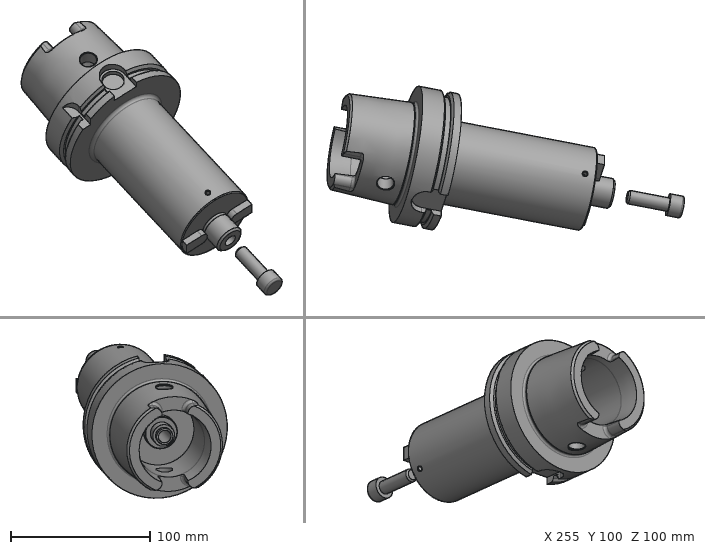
import cadquery as cq
import math


shank_length = 50.0
taper_end_radius = 35.2
taper_slope = 0.05
end_chamfer = 1.5
neck_start = 47.0
neck_depth = 0.3
neck_step = 0.8
neck_fillet = 1.5

bore_mouth_radius = 26.5
bore_radius = 25.2
bore_lead_length = 15.3
bore_depth = 50.0
tube_tip = 33.7
tube_tip_diameter = 12.0
tube_step = 37.0
tube_diameter = 16.0
nut_start = 44.5
nut_diameter = 24.0
nut_chamfer = 0.5
coolant_diameter = 9.2

slot_half_width = 9.55
slot_corner_radius = 5.4
slot_corner_top = 30.5
slot_floor_fillet = 2.3
upper_slot_depth = 10.0
lower_slot_depth = 14.8

cross_hole_x = 35.0
cross_hole_diameter = 12.0
cross_hole_rim = 0.5

flange_radius = 50.0
flange_length = 28.8
groove_center = 69.5
groove_floor_radius = 46.0
groove_floor_width = 4.0
groove_mouth_width = 7.1
groove_mouth_depth = 2.5

notch_width = 20.0
notch_center_x = 64.3
notch_floor = 43.5
rim_hole_diameter = 16.0
rim_hole_depth = 3.8
side_notch_y = -31.4
side_notch_floor = 32.0

body_radius = 30.3
body_end = 184.5
body_fillet = 2.5
body_end_chamfer = 0.8

pilot_diameter = 22.0
pilot_end = 203.0
pilot_chamfer = 1.5
undercut_diameter = 21.7
undercut_end = 187.0
key_width = 10.2
key_height = 5.4
key_inner_reach = 10.7
key_outer_reach = 29.5

set_hole_x = 176.5
set_hole_diameter = 3.0
set_hole_rim_diameter = 4.0
set_hole_rim_depth = 0.8
set_hole_depth = 6.5
set_hole_count = 3

screw_tip = 214.2
screw_end = 255.0
screw_diameter = 10.0
screw_tip_chamfer = 1.3
head_diameter = 16.0
head_length = 10.5
head_fillet = 1.5

flange_end = shank_length + flange_length
slot_corner_y = slot_half_width + slot_corner_radius
slot_corner_z = slot_corner_top - slot_corner_radius
beyond = 2 * flange_radius


def turned(profile):
    """Solid of revolution about X of a closed (x, radius) profile."""
    return profile.close().revolve(360, (0, 0, 0), (1, 0, 0))


def cylinder_x(start, end, diameter):
    return cq.Workplane("YZ", origin=(start, 0, 0)).circle(diameter / 2).extrude(end - start)


def cylinder_z(x, bottom, top, diameter):
    return cq.Workplane("XY", origin=(x, 0, bottom)).circle(diameter / 2).extrude(top - bottom)


def shank():
    neck_radius = taper_end_radius + taper_slope * neck_start - neck_depth
    neck_end = shank_length - neck_fillet
    fillet_middle = neck_fillet * (1 - math.sqrt(0.5))
    profile = (
        cq.Workplane("XY")
        .moveTo(0, 0)
        .lineTo(0, taper_end_radius - end_chamfer)
        .lineTo(end_chamfer, taper_end_radius + taper_slope * end_chamfer)
        .lineTo(neck_start, neck_radius + neck_depth)
        .lineTo(neck_start + neck_step, neck_radius)
        .lineTo(neck_end, neck_radius)
        .threePointArc(
            (shank_length - fillet_middle, neck_radius + fillet_middle),
            (shank_length, neck_radius + neck_fillet),
        )
        .lineTo(shank_length, 0)
    )
    return turned(profile)


def flange():
    mouth_radius = flange_radius - groove_mouth_depth
    half_floor = groove_floor_width / 2
    half_mouth = groove_mouth_width / 2
    profile = (
        cq.Workplane("XY")
        .moveTo(shank_length, 0)
        .lineTo(shank_length, flange_radius)
        .lineTo(groove_center - half_mouth, flange_radius)
        .lineTo(groove_center - half_floor, mouth_radius)
        .lineTo(groove_center - half_floor, groove_floor_radius)
        .lineTo(groove_center + half_floor, groove_floor_radius)
        .lineTo(groove_center + half_floor, mouth_radius)
        .lineTo(groove_center + half_mouth, flange_radius)
        .lineTo(flange_end, flange_radius)
        .lineTo(flange_end, 0)
    )
    return turned(profile)


def body():
    fillet_middle = body_fillet * (1 - math.sqrt(0.5))
    profile = (
        cq.Workplane("XY")
        .moveTo(flange_end, 0)
        .lineTo(flange_end, body_radius + body_fillet)
        .threePointArc(
            (flange_end + fillet_middle, body_radius + fillet_middle),
            (flange_end + body_fillet, body_radius),
        )
        .lineTo(body_end - body_end_chamfer, body_radius)
        .lineTo(body_end, body_radius - body_end_chamfer)
        .lineTo(body_end, 0)
    )
    return turned(profile)


def pilot():
    undercut = cylinder_x(body_end, undercut_end, undercut_diameter)
    spigot = cylinder_x(undercut_end, pilot_end, pilot_diameter).faces(">X").chamfer(pilot_chamfer)
    return undercut.union(spigot)


def drive_key(side):
    """Key on the end face; side is +1 or -1 along Y. Its inner end is a half round."""
    round_center = side * (key_inner_reach + key_width / 2)
    outer = side * key_outer_reach
    plane = cq.Workplane("YZ", origin=(body_end, 0, 0))
    bar = (
        plane.center((round_center + outer) / 2, 0)
        .rect(abs(outer - round_center), key_width)
        .extrude(key_height)
    )
    inner_end = (
        cq.Workplane("YZ", origin=(body_end, round_center, 0))
        .circle(key_width / 2)
        .extrude(key_height)
    )
    return bar.union(inner_end)


def shank_bore():
    """Space inside the shank around the coolant tube and its nut."""
    cavity = turned(
        cq.Workplane("XY")
        .moveTo(0, 0)
        .lineTo(0, bore_mouth_radius)
        .lineTo(bore_lead_length, bore_radius)
        .lineTo(bore_depth, bore_radius)
        .lineTo(bore_depth, 0)
    )
    nut = cylinder_x(nut_start, bore_depth, nut_diameter).faces("<X").chamfer(nut_chamfer)
    tube = cylinder_x(tube_step, bore_depth, tube_diameter)
    tip = cylinder_x(tube_tip, bore_depth, tube_tip_diameter)
    return cavity.cut(nut).cut(tube).cut(tip)


def drive_slot(depth, side):
    """Slot from the shank end with outward-rounded upper edges; side is +1 or -1 along Z."""
    corner_middle = slot_corner_radius * math.sqrt(0.5)
    slot = (
        cq.Workplane("YZ")
        .moveTo(-slot_half_width, 0)
        .lineTo(-slot_half_width, side * slot_corner_z)
        .threePointArc(
            (-slot_corner_y + corner_middle, side * (slot_corner_z + corner_middle)),
            (-slot_corner_y, side * slot_corner_top),
        )
        .lineTo(-flange_radius, side * slot_corner_top)
        .lineTo(-flange_radius, side * flange_radius)
        .lineTo(flange_radius, side * flange_radius)
        .lineTo(flange_radius, side * slot_corner_top)
        .lineTo(slot_corner_y, side * slot_corner_top)
        .threePointArc(
            (slot_corner_y - corner_middle, side * (slot_corner_z + corner_middle)),
            (slot_half_width, side * slot_corner_z),
        )
        .lineTo(slot_half_width, 0)
        .close()
        .extrude(depth)
    )
    edges = slot.faces(">X").edges().filter(
        lambda edge: 0 < side * edge.Center().z < slot_corner_top + slot_floor_fillet
    )
    return edges.fillet(slot_floor_fillet)


def cross_hole():
    """Rimmed hole through both walls of the shank, clear of the coolant tube."""
    radius = cross_hole_diameter / 2
    wall_radius = taper_end_radius + taper_slope * cross_hole_x
    rim_radius = radius + cross_hole_rim
    cuts = cq.Workplane("XY")
    for side in (1, -1):
        drill = (
            cq.Workplane("XZ")
            .moveTo(0, side * bore_radius * 0.9)
            .lineTo(radius, side * bore_radius * 0.9)
            .lineTo(radius, side * (wall_radius - 2 * cross_hole_rim))
            .lineTo(rim_radius, side * (wall_radius - cross_hole_rim))
            .lineTo(rim_radius, side * flange_radius)
            .lineTo(0, side * flange_radius)
            .close()
            .revolve(360, (0, 0, 0), (0, 1, 0))
            .translate((cross_hole_x, 0, 0))
        )
        cuts = cuts.add(drill)
    return cuts.combine()


def rim_notch():
    """Round-ended slot open toward +X, standing on z = 0 and centred on Y."""
    run_out = flange_end - notch_center_x
    straight = (
        cq.Workplane("XY")
        .box(run_out, notch_width, beyond, centered=(False, True, False))
        .translate((notch_center_x, 0, 0))
    )
    return straight.union(cylinder_z(notch_center_x, 0, beyond, notch_width))


def flange_cuts():
    upper = rim_notch().translate((0, 0, notch_floor))
    lower = upper.mirror("XY")
    side = rim_notch().translate((0, side_notch_y - notch_width / 2, side_notch_floor))
    rim_hole = cylinder_z(notch_center_x, notch_floor - rim_hole_depth, beyond, rim_hole_diameter)
    return upper.union(lower).union(side).union(rim_hole)


def set_hole(angle):
    bottom = body_radius - set_hole_depth
    hole = cylinder_z(set_hole_x, bottom, flange_radius, set_hole_diameter)
    rim = cylinder_z(set_hole_x, body_radius - set_hole_rim_depth, flange_radius, set_hole_rim_diameter)
    return hole.union(rim).rotate((0, 0, 0), (1, 0, 0), angle)


def build_holder():
    holder = shank().union(flange()).union(body()).union(pilot())
    for side in (1, -1):
        holder = holder.union(drive_key(side))
    holder = holder.cut(shank_bore())
    holder = holder.cut(cylinder_x(0, pilot_end, coolant_diameter))
    holder = holder.cut(drive_slot(upper_slot_depth, 1))
    holder = holder.cut(drive_slot(lower_slot_depth, -1))
    holder = holder.cut(cross_hole())
    holder = holder.cut(flange_cuts())
    for index in range(set_hole_count):
        holder = holder.cut(set_hole(index * 360 / set_hole_count))
    return holder


def build_screw():
    head_start = screw_end - head_length
    shaft = cylinder_x(screw_tip, head_start, screw_diameter).faces("<X").chamfer(screw_tip_chamfer)
    head = cylinder_x(head_start, screw_end, head_diameter).faces(">X").edges().fillet(head_fillet)
    return shaft.union(head)


holder = build_holder()
screw = build_screw()

result = cq.Compound.makeCompound([holder.val(), screw.val()])